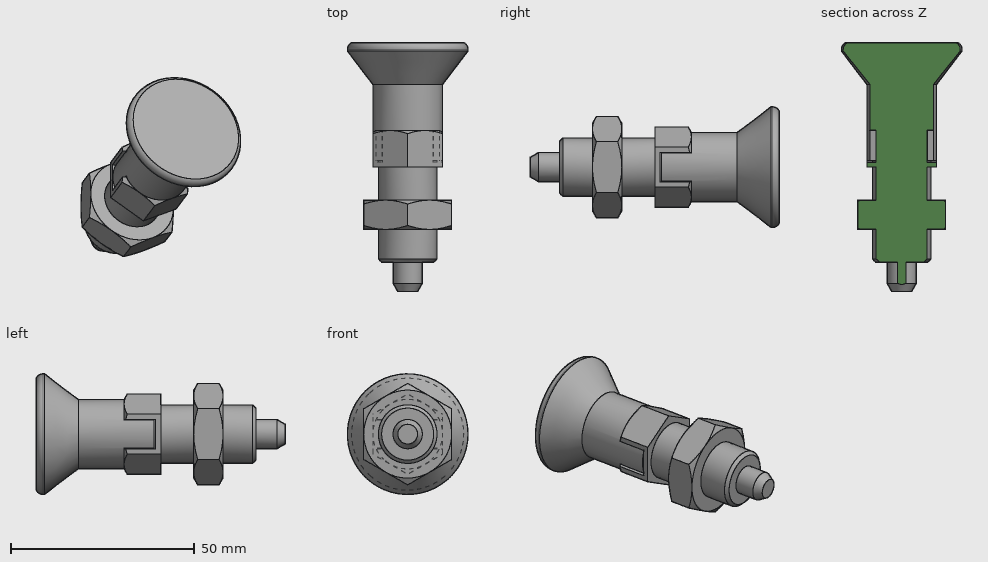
import cadquery as cq
import math


knob_diameter = 33.0
knob_end_y = 34.0
knob_edge_depth = 1.9
knob_edge_inset = 1.2
knob_band_width = 0.4
cone_end_y = 22.5
sleeve_diameter = 19.0

collar_flats = 19.0
collar_length = 10.0

slot_width = 8.0
slot_length = 8.6
key_clearance = 0.2
key_end_gap = 0.4
slot_floor_y = collar_length - slot_length
key_end_y = slot_floor_y + key_end_gap

body_diameter = 16.0
body_length = 26.0
body_chamfer = 0.9

nut_flats = 24.0
nut_thickness = 8.0
nut_back_y = -9.0

pin_diameter = 8.0
pin_length = 8.0
pin_tip_diameter = 5.4
pin_taper_angle = 30.0

hex_chamfer_angle = 30.0
corner_turn = 30.0


def cylinder(diameter, y_start, y_end):
    """Solid cylinder on the Y axis between two Y positions."""
    return cq.Workplane("XZ", origin=(0, y_end, 0)).circle(diameter / 2).extrude(y_end - y_start)


def revolve_profile(profile):
    """Turn a closed profile in (radius, Y) about the Y axis."""
    return profile.close().revolve(360, (0, 0, 0), (0, 1, 0))


def hexagon(flats, y_start, y_end, chamfer_front):
    """Hexagonal prism with corners at +Z and -Z, its corners turned off conically."""
    corner_radius = flats / math.sqrt(3)
    face_radius = flats / 2
    bevel = (corner_radius - face_radius) * math.tan(math.radians(hex_chamfer_angle))
    prism = (
        cq.Workplane("XZ", origin=(0, y_end, 0))
        .polygon(6, 2 * corner_radius)
        .extrude(y_end - y_start)
        .rotate((0, 0, 0), (0, 1, 0), corner_turn)
    )
    profile = cq.Workplane("XY").moveTo(0, y_start)
    if chamfer_front:
        profile = profile.lineTo(face_radius, y_start).lineTo(corner_radius, y_start + bevel)
    else:
        profile = profile.lineTo(corner_radius, y_start)
    profile = (
        profile.lineTo(corner_radius, y_end - bevel)
        .lineTo(face_radius, y_end)
        .lineTo(0, y_end)
    )
    return prism.intersect(revolve_profile(profile))


def side_block(width, y_start, y_end):
    """Block through the whole part along X, centred on the axis in Z."""
    middle = cq.Workplane("XY", origin=(0, (y_start + y_end) / 2, 0))
    return middle.box(2 * collar_flats, y_end - y_start, width)


def make_knob():
    """Flared knob with a rounded end edge, and its sleeve ending in two opposite keys."""
    radius = knob_diameter / 2
    sleeve_radius = sleeve_diameter / 2
    edge_y = knob_end_y - knob_edge_depth
    knob = revolve_profile(
        cq.Workplane("XY")
        .moveTo(0, key_end_y)
        .lineTo(sleeve_radius, key_end_y)
        .lineTo(sleeve_radius, cone_end_y)
        .lineTo(radius, edge_y - knob_band_width)
        .lineTo(radius, edge_y)
        .tangentArcPoint((-knob_edge_inset, knob_edge_depth))
        .lineTo(0, knob_end_y)
    )
    key_block = side_block(slot_width - 2 * key_clearance, key_end_y, collar_length)
    beside_keys = cylinder(knob_diameter, key_end_y, collar_length).cut(key_block)
    return knob.cut(beside_keys)


def make_collar():
    """Hexagonal collar, slotted on both X sides around a round core."""
    collar = hexagon(collar_flats, 0, collar_length, chamfer_front=False)
    slot = side_block(slot_width, slot_floor_y, collar_length)
    core = cylinder(body_diameter, 0, collar_length)
    return collar.cut(slot.cut(core))


def make_body():
    """Threaded body, a plain cylinder with a chamfered front edge."""
    body = cylinder(body_diameter, -body_length, 0)
    return body.faces("<Y").chamfer(body_chamfer)


def make_pin():
    """Locating pin with a tapered tip."""
    radius = pin_diameter / 2
    tip_radius = pin_tip_diameter / 2
    taper_length = (radius - tip_radius) / math.tan(math.radians(pin_taper_angle))
    tip_y = -body_length - pin_length
    return revolve_profile(
        cq.Workplane("XY")
        .moveTo(0, tip_y)
        .lineTo(tip_radius, tip_y)
        .lineTo(radius, tip_y + taper_length)
        .lineTo(radius, -body_length)
        .lineTo(0, -body_length)
    )


def make_nut():
    """Lock nut, chamfered on both faces."""
    return hexagon(nut_flats, nut_back_y - nut_thickness, nut_back_y, chamfer_front=True)


result = make_knob().union(make_collar()).union(make_body()).union(make_pin()).union(make_nut())